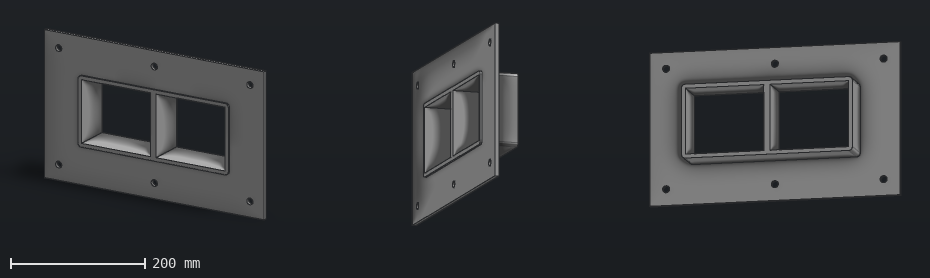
import cadquery as cq

plate_width = 383.0
plate_height = 233.0
plate_thickness = 6.0

window_width = 120.0
window_height = 100.0
outer_wall = 6.0
divider = 10.0
sleeve_depth = 60.0
sleeve_corner_radius = 5.7
front_projection = 3.0
sleeve_width = 2 * window_width + divider + 2 * outer_wall
sleeve_height = window_height + 2 * outer_wall

hole_diameter = 10.5
hole_pitch_x = 166.5
hole_pitch_z = 183.0


def block(width, depth, height, front_y):
    """Box centred in X and Z that runs from front_y towards +Y."""
    box = cq.Workplane("XY").box(width, depth, height, centered=(True, False, True))
    return box.translate((0, front_y, 0))


def make_plate():
    plate = block(plate_width, plate_thickness, plate_height, 0)
    return (
        plate.faces("<Y").workplane(centerOption="CenterOfBoundBox")
        .rarray(hole_pitch_x, hole_pitch_z, 3, 2)
        .hole(hole_diameter)
    )


def make_sleeve():
    sleeve = block(sleeve_width, sleeve_depth, sleeve_height, -front_projection)
    return sleeve.edges("|Y").fillet(sleeve_corner_radius)


def make_windows():
    window = block(window_width, sleeve_depth, window_height, -front_projection)
    offset = (window_width + divider) / 2
    return window.translate((-offset, 0, 0)).union(window.translate((offset, 0, 0)))


result = make_plate().union(make_sleeve()).cut(make_windows())